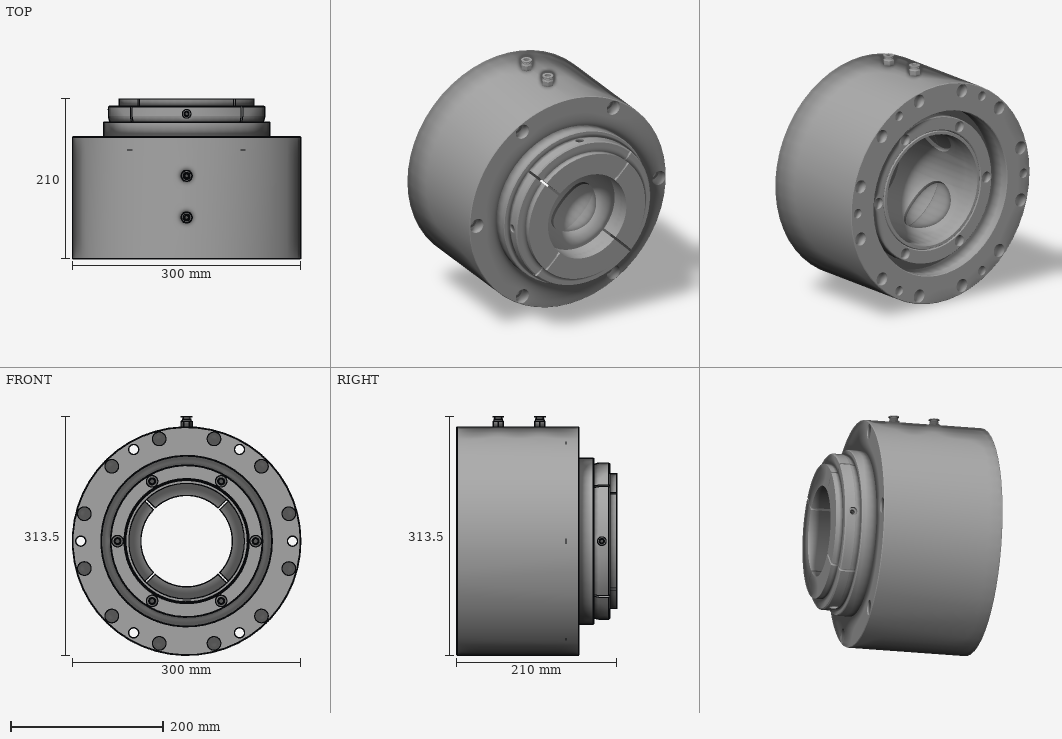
import cadquery as cq
import math


housing_diameter = 300.0
housing_radius = housing_diameter / 2
housing_length = 160.5
housing_chamfer = 1.0
rear_ring_radius = 109.0
rear_ring_length = 19.5
rear_ring_chamfer = 1.0
front_pocket_radius = 111.5
front_pocket_depth = 35.5
front_boss_radius = 100.0
front_boss_depth = 17.2
front_boss_chamfer = 1.0
bore_chamfer = 1.3
rear_ring_end = housing_length + rear_ring_length

flange_bolt_radius = 139.0
through_hole_count = 6
through_hole_diameter = 13.0
through_counterbore_diameter = 20.0
through_counterbore_depth = 17.2
blind_hole_count = 12
blind_hole_diameter = 18.0
blind_hole_depth = 31.5

boss_screw_count = 6
boss_screw_radius = 90.5
boss_counterbore_diameter = 15.0
boss_counterbore_depth = 18.8
boss_hole_diameter = 9.0
boss_hole_depth = 9.5
boss_tip_diameter = 6.5
boss_tip_depth = 9.5

sleeve_inner_radius = 76.0
sleeve_outer_radius = 80.3
sleeve_chamfer = 0.5
sleeve_clearance = 0.5
sleeve_seat_depth = 100.5
sleeve_window_diameter = 73.0
sleeve_window_depth = 91.5
sleeve_notch_diameter = 10.0
sleeve_notch_inner_radius = 78.5

jaw_count = 4
jaw_slot_width = 3.0
jaw_bore_radius = 60.0
jaw_flange_radius = 102.8
jaw_taper_radius = 101.0
jaw_taper_length = 7.5
jaw_flange_length = 21.0
jaw_flange_chamfer = 1.5
jaw_cap_radius = 88.7
jaw_cap_length = 9.0
jaw_screw_counterbore_diameter = 11.3
jaw_screw_counterbore_depth = 4.7
jaw_screw_hole_diameter = 7.0
jaw_screw_hole_depth = 6.3
jaw_screw_tip_diameter = 5.0
jaw_screw_tip_depth = 6.3
first_slot_angle = 45.0

fitting_depths = [54.5, 109.0]
fitting_height = 13.5
fitting_hex_height = 7.0
fitting_hex_flats = 13.5
fitting_hex_corner_diameter = 15.0
fitting_cone_height = 2.0
fitting_collar_diameter = 11.3
fitting_collar_height = 1.5
fitting_neck_diameter = 9.5
fitting_disc_diameter = 14.5
fitting_disc_thickness = 1.0
fitting_hole_diameter = 8.0
fitting_hole_depth = 6.3
fitting_hole_tip_diameter = 5.0
fitting_hole_tip_depth = 4.7
fitting_stem_diameter = 9.5
fitting_stem_length = 9.5


def revolve_ring(profile):
    """Ring about the Y axis from (radius, depth) points."""
    return cq.Workplane("XY").polyline(profile).close().revolve(360, (0, 0, 0), (0, 1, 0))


def axial_holes(diameter, circle_radius, count, start, length, first_angle=0.0):
    """Cylinders parallel to Y on a circle, running from depth start to start + length."""
    return (
        cq.Workplane("XZ", origin=(0, start, 0))
        .polarArray(circle_radius, first_angle, 360, count)
        .circle(diameter / 2)
        .extrude(-length)
    )


def radial_cylinder(diameter, inner_radius, outer_radius, depth, angle):
    """Cylinder along the radius at the given angle from +X towards +Z."""
    a = math.radians(angle)
    direction = cq.Vector(math.cos(a), 0, math.sin(a))
    start = direction * inner_radius + cq.Vector(0, depth, 0)
    return cq.Workplane(
        cq.Solid.makeCylinder(diameter / 2, outer_radius - inner_radius, start, direction)
    )


def make_housing():
    bore_front = sleeve_outer_radius + sleeve_clearance
    body = revolve_ring([
        (bore_front, front_boss_depth + bore_chamfer),
        (bore_front + bore_chamfer, front_boss_depth),
        (front_boss_radius - front_boss_chamfer, front_boss_depth),
        (front_boss_radius, front_boss_depth + front_boss_chamfer),
        (front_boss_radius, front_pocket_depth),
        (front_pocket_radius, front_pocket_depth),
        (front_pocket_radius, housing_chamfer),
        (front_pocket_radius + housing_chamfer, 0),
        (housing_radius - housing_chamfer, 0),
        (housing_radius, housing_chamfer),
        (housing_radius, housing_length - housing_chamfer),
        (housing_radius - housing_chamfer, housing_length),
        (rear_ring_radius, housing_length),
        (rear_ring_radius, rear_ring_end - rear_ring_chamfer),
        (rear_ring_radius - rear_ring_chamfer, rear_ring_end),
        (sleeve_outer_radius, rear_ring_end),
        (sleeve_outer_radius, sleeve_seat_depth),
        (bore_front, sleeve_seat_depth),
    ])

    body = body.cut(axial_holes(
        through_hole_diameter, flange_bolt_radius, through_hole_count, 0, housing_length))
    body = body.cut(axial_holes(
        through_counterbore_diameter, flange_bolt_radius, through_hole_count,
        housing_length - through_counterbore_depth, through_counterbore_depth))
    half_pitch = 180 / blind_hole_count
    body = body.cut(axial_holes(
        blind_hole_diameter, flange_bolt_radius, blind_hole_count, 0, blind_hole_depth, half_pitch))

    start = front_boss_depth
    for diameter, length in [
        (boss_counterbore_diameter, boss_counterbore_depth),
        (boss_hole_diameter, boss_hole_depth),
        (boss_tip_diameter, boss_tip_depth),
    ]:
        body = body.cut(axial_holes(diameter, boss_screw_radius, boss_screw_count, start, length))
        start += length

    for depth in fitting_depths:
        body = body.cut(radial_cylinder(
            fitting_stem_diameter, housing_radius - fitting_stem_length,
            housing_radius + fitting_stem_length, depth, 90))
    return body


def make_sleeve():
    body = revolve_ring([
        (sleeve_inner_radius, front_boss_depth),
        (sleeve_outer_radius - sleeve_chamfer, front_boss_depth),
        (sleeve_outer_radius, front_boss_depth + sleeve_chamfer),
        (sleeve_outer_radius, rear_ring_end),
        (sleeve_inner_radius, rear_ring_end),
    ])

    for i in range(jaw_count):
        angle = first_slot_angle + i * 360 / jaw_count
        body = body.cut(radial_cylinder(
            sleeve_window_diameter, 0, rear_ring_radius, sleeve_window_depth, angle))

    return body.cut(radial_cylinder(
        sleeve_notch_diameter, sleeve_notch_inner_radius, rear_ring_radius, front_boss_depth, -90))


def make_jaw_ring():
    """Complete jaw ring before it is divided."""
    flange_end = rear_ring_end + jaw_flange_length
    cap_end = flange_end + jaw_cap_length
    return revolve_ring([
        (jaw_bore_radius, rear_ring_end),
        (jaw_taper_radius, rear_ring_end),
        (jaw_flange_radius, rear_ring_end + jaw_taper_length),
        (jaw_flange_radius, flange_end - jaw_flange_chamfer),
        (jaw_flange_radius - jaw_flange_chamfer, flange_end),
        (jaw_cap_radius, flange_end),
        (jaw_cap_radius, cap_end),
        (jaw_bore_radius, cap_end),
    ])


def make_jaws():
    ring = make_jaw_ring()
    slot_length = jaw_flange_length + jaw_cap_length
    screw_depth = rear_ring_end + jaw_flange_length / 2
    for i in range(jaw_count):
        slot_angle = first_slot_angle + i * 360 / jaw_count
        slot = (
            cq.Workplane("XY", origin=(0, rear_ring_end, 0))
            .box(jaw_flange_radius, slot_length, jaw_slot_width, centered=(False, False, True))
            .rotate((0, 0, 0), (0, 1, 0), -slot_angle)
        )
        ring = ring.cut(slot)

        screw_angle = i * 360 / jaw_count
        step_outer = jaw_flange_radius
        for diameter, length in [
            (jaw_screw_counterbore_diameter, jaw_screw_counterbore_depth),
            (jaw_screw_hole_diameter, jaw_screw_hole_depth),
            (jaw_screw_tip_diameter, jaw_screw_tip_depth),
        ]:
            step_inner = step_outer - length
            ring = ring.cut(radial_cylinder(diameter, step_inner, step_outer, screw_depth, screw_angle))
            step_outer = step_inner
    return ring.solids()


def make_fitting(depth):
    """Push-in air fitting standing on top of the housing."""
    hex_corners = fitting_hex_flats / math.cos(math.pi / 6)
    hex_top = fitting_hex_height
    cone_top = hex_top + fitting_cone_height
    collar_top = cone_top + fitting_collar_height
    disc_bottom = fitting_height - fitting_disc_thickness

    stem = cq.Workplane("XY").circle(fitting_stem_diameter / 2).extrude(-fitting_stem_length)
    rounded_corners = cq.Workplane("XY").circle(fitting_hex_corner_diameter / 2).extrude(hex_top)
    hexagon = cq.Workplane("XY").polygon(6, hex_corners).extrude(hex_top).intersect(rounded_corners)
    upper = (
        cq.Workplane("XZ")
        .polyline([
            (0, hex_top),
            (fitting_hex_flats / 2, hex_top),
            (fitting_collar_diameter / 2, cone_top),
            (fitting_collar_diameter / 2, collar_top),
            (fitting_neck_diameter / 2, collar_top),
            (fitting_neck_diameter / 2, disc_bottom),
            (fitting_disc_diameter / 2, disc_bottom),
            (fitting_disc_diameter / 2, fitting_height),
            (0, fitting_height),
        ])
        .close()
        .revolve(360, (0, 0, 0), (0, 1, 0))
    )
    body = stem.union(hexagon).union(upper)

    hole_floor = fitting_height - fitting_hole_depth
    body = body.cut(
        cq.Workplane("XY", origin=(0, 0, hole_floor))
        .circle(fitting_hole_diameter / 2).extrude(fitting_hole_depth))
    body = body.cut(
        cq.Workplane("XY", origin=(0, 0, hole_floor))
        .circle(fitting_hole_tip_diameter / 2).extrude(-fitting_hole_tip_depth))
    return body.translate((0, depth, housing_radius))


housing = make_housing()
sleeve = make_sleeve()
jaws = make_jaws()
fittings = [make_fitting(depth) for depth in fitting_depths]

result = cq.Compound.makeCompound(
    [housing.val(), sleeve.val(), *jaws.vals(), *[fitting.val() for fitting in fittings]]
)